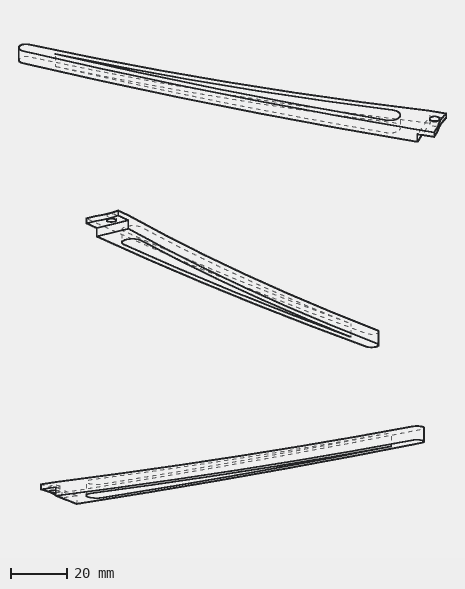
import cadquery as cq

length = 158.5
width = 14.0
thickness = 5.0

nose_bottom = 8.9
nose_lower_x = 2.0
nose_upper_x = 2.7
nose_center_y = (nose_bottom + width) / 2
middle_x = length / 2
upper_middle_y = 10.8
lower_middle_y = 2.2

tab_start_x = 152.3
tab_thickness = 1.9
hole_diameter = 3.5
hole_x = 155.8
hole_y = 9.0
end_hollow = 0.5
hollow_bottom = 2 * hole_y - width

slot_tip = (13.8, 10.5)
slot_upper_middle_y = 8.1
slot_lower_middle_y = 4.9
slot_end_x = 139.8
slot_end_top = 10.3
slot_end_bottom = 2.9
slot_end_radius = (slot_end_top - slot_end_bottom) / 2
slot_end_y = (slot_end_top + slot_end_bottom) / 2


def make_body():
    """Full-thickness bar with bowed edges, a rounded nose and a hollow end."""
    outline = (
        cq.Workplane("XY")
        .moveTo(nose_lower_x, nose_bottom)
        .threePointArc((middle_x, lower_middle_y), (tab_start_x, 0))
        .lineTo(length, 0)
        .lineTo(length, hollow_bottom)
        .threePointArc((length - end_hollow, hole_y), (length, width))
        .lineTo(tab_start_x, width)
        .threePointArc((middle_x, upper_middle_y), (nose_upper_x, width))
        .threePointArc((0, nose_center_y), (nose_lower_x, nose_bottom))
        .close()
    )
    return outline.extrude(thickness)


def make_slot():
    """Through slot, pointed near the nose and round near the tab."""
    return (
        cq.Workplane("XY")
        .moveTo(*slot_tip)
        .threePointArc((middle_x, slot_lower_middle_y), (slot_end_x, slot_end_bottom))
        .threePointArc((slot_end_x + slot_end_radius, slot_end_y), (slot_end_x, slot_end_top))
        .threePointArc((middle_x, slot_upper_middle_y), slot_tip)
        .close()
        .extrude(thickness)
    )


def make_tab_relief():
    """Block removed below the tab."""
    relief_length = length - tab_start_x
    relief_height = thickness - tab_thickness
    relief = cq.Workplane("XY").box(relief_length, width, relief_height, centered=False)
    return relief.translate((tab_start_x, 0, 0))


def make_hole():
    """Round hole through the tab."""
    return cq.Workplane("XY").center(hole_x, hole_y).circle(hole_diameter / 2).extrude(thickness)


result = make_body().cut(make_slot()).cut(make_tab_relief()).cut(make_hole())